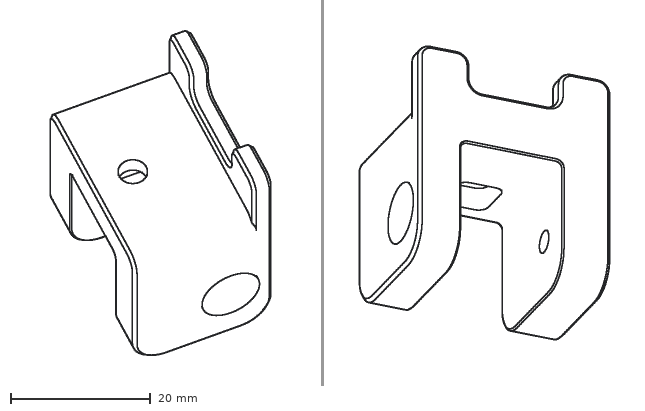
import cadquery as cq

WIDTH = 30.0
DEPTH = 21.65
HEIGHT = 33.33

BLOCK_HEIGHT = 24.83
TOP_CORNER_RADIUS = 2.5
LEG_END_RADIUS = 5.0
LEFT_LEG_WIDTH = 7.6
RIGHT_LEG_WIDTH = 6.6
SLOT_HEIGHT = 18.83
SLOT_CORNER_RADIUS = 1.0

PLATE_THICKNESS = 3.0
TAB_WIDTH = 8.0
NOTCH_DEPTH = 6.0
TAB_RADIUS = 2.0
PLATE_BOTTOM = 20.0

OUTER_CHAMFER = 0.5
SLOT_CHAMFER = 0.25

SIDE_HOLE_DIAMETER = 3.33
SIDE_BORE_DIAMETER = 9.0
SIDE_HOLE_HEIGHT = 9.0
SIDE_HOLE_FROM_BACK = 6.5
TOP_HOLE_DIAMETER = 4.2
TOP_HOLE_FROM_FRONT = 6.5
TOP_HOLE_DEPTH = 2.53
POCKET_WIDTH = 7.0
POCKET_LENGTH = 7.5
POCKET_CORNER_RADIUS = 1.5


def box(x_start, width, y_start, depth, z_start, height):
    """Box given by its lowest corner and its sizes."""
    return cq.Workplane("XY").box(width, depth, height, centered=False).translate((x_start, y_start, z_start))


def make_block():
    """Solid block with rounded top sides and leg ends, chamfered all round its outline."""
    block = box(0, WIDTH, 0, DEPTH, 0, BLOCK_HEIGHT)
    block = block.edges("|Y and >Z").fillet(TOP_CORNER_RADIUS)
    block = block.edges("|X and <Z").fillet(LEG_END_RADIUS)
    front_back_rim = block.faces("<Y or >Y").edges()
    side_rim = block.faces("<X or >X").edges("not (|Y and >Z)")
    return front_back_rim.add(side_rim).chamfer(OUTER_CHAMFER)


def cut_slot(block):
    """Cut the open slot between the legs and chamfer the rim of its walls."""
    slot_width = WIDTH - LEFT_LEG_WIDTH - RIGHT_LEG_WIDTH
    slot = box(LEFT_LEG_WIDTH, slot_width, 0, DEPTH, 0, SLOT_HEIGHT)
    slot = slot.edges("|Y and >Z").fillet(SLOT_CORNER_RADIUS)
    forked = block.cut(slot)

    slot_roof = forked.faces(cq.selectors.NearestToPointSelector((WIDTH / 2, DEPTH / 2, SLOT_HEIGHT)))
    rim = slot_roof.edges("|X")
    return rim.chamfer(SLOT_CHAMFER)


def make_plate():
    """Back plate with two rounded tabs, chamfered on both faces."""
    plate_front = DEPTH - PLATE_THICKNESS
    plate = box(0, WIDTH, plate_front, PLATE_THICKNESS, PLATE_BOTTOM, HEIGHT - PLATE_BOTTOM)
    notch_width = WIDTH - 2 * TAB_WIDTH
    notch = box(TAB_WIDTH, notch_width, plate_front, PLATE_THICKNESS, HEIGHT - NOTCH_DEPTH, NOTCH_DEPTH)
    plate = plate.cut(notch)
    plate = plate.edges("|Y").edges("not <Z").fillet(TAB_RADIUS)
    return plate.faces("<Y or >Y").edges("not <Z").chamfer(OUTER_CHAMFER)


def side_holes():
    """Small hole through the left leg and a wider coaxial bore through the right leg."""
    axis = cq.Workplane("YZ").center(DEPTH - SIDE_HOLE_FROM_BACK, SIDE_HOLE_HEIGHT)
    hole = axis.circle(SIDE_HOLE_DIAMETER / 2).extrude(LEFT_LEG_WIDTH)
    right_leg = axis.workplane(offset=WIDTH - RIGHT_LEG_WIDTH)
    bore = right_leg.circle(SIDE_BORE_DIAMETER / 2).extrude(RIGHT_LEG_WIDTH)
    return hole.add(bore).combine()


def top_hole():
    """Vertical hole through the bridge between the legs, with a rounded rectangular pocket on the slot side."""
    axis = cq.Workplane("XY", origin=(WIDTH / 2, TOP_HOLE_FROM_FRONT, SLOT_HEIGHT))
    hole = axis.circle(TOP_HOLE_DIAMETER / 2).extrude(BLOCK_HEIGHT - SLOT_HEIGHT)
    pocket_depth = BLOCK_HEIGHT - SLOT_HEIGHT - TOP_HOLE_DEPTH
    pocket = axis.rect(POCKET_WIDTH, POCKET_LENGTH).extrude(pocket_depth)
    pocket = pocket.edges("|Z").fillet(POCKET_CORNER_RADIUS)
    return hole.union(pocket)


body = cut_slot(make_block()).union(make_plate())
result = body.cut(side_holes()).cut(top_hole())